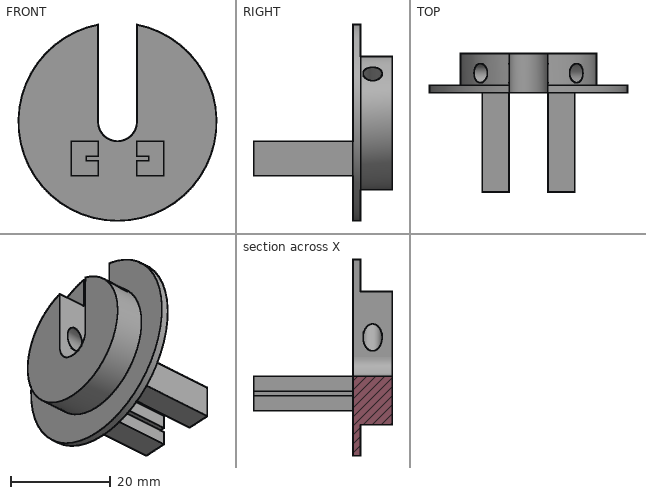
import cadquery as cq
import math

flange_radius = 20.0
flange_thickness = 1.6
hub_radius = 13.75
hub_length = 6.4
body_depth = flange_thickness + hub_length

slot_width = 7.8
slot_radius = slot_width / 2

post_width = 5.45
post_height = 7.0
post_length = 20.0
post_top_z = -slot_radius
post_center_z = post_top_z - post_height / 2
groove_depth = 2.4
groove_height = 0.95

screw_hole_diameter = 3.85
screw_hole_y = body_depth / 2
screw_hole_angle = 45.0


def disc(radius, start_y, length):
    """Cylinder along +Y starting at start_y."""
    return cq.Workplane("XZ", origin=(0, start_y, 0)).circle(radius).extrude(-length)


def slot_cutter():
    """Slot from its round bottom up past the flange rim."""
    straight = (
        cq.Workplane("XY")
        .box(slot_width, body_depth, flange_radius, centered=(True, False, False))
    )
    return disc(slot_radius, 0, body_depth).union(straight)


def post(side):
    """Post on one side (-1 or +1) with a groove facing the other post."""
    block = (
        cq.Workplane("XY")
        .box(post_width, post_length, post_height)
        .translate((side * (slot_radius + post_width / 2), -post_length / 2, post_center_z))
    )
    groove = (
        cq.Workplane("XY")
        .box(groove_depth, post_length, groove_height)
        .translate((side * (slot_radius + groove_depth / 2), -post_length / 2, post_center_z))
    )
    return block.cut(groove)


def screw_hole(side):
    """Radial hole starting on the slot axis and leaving through the hub rim."""
    angle = math.radians(screw_hole_angle)
    direction = cq.Vector(side * math.sin(angle), 0, math.cos(angle))
    start = cq.Vector(0, screw_hole_y, 0)
    return cq.Solid.makeCylinder(screw_hole_diameter / 2, flange_radius, start, direction)


flange = disc(flange_radius, 0, flange_thickness)
hub = disc(hub_radius, flange_thickness, hub_length)
result = flange.union(hub).cut(slot_cutter())

for side in (-1, 1):
    result = result.union(post(side)).cut(screw_hole(side))